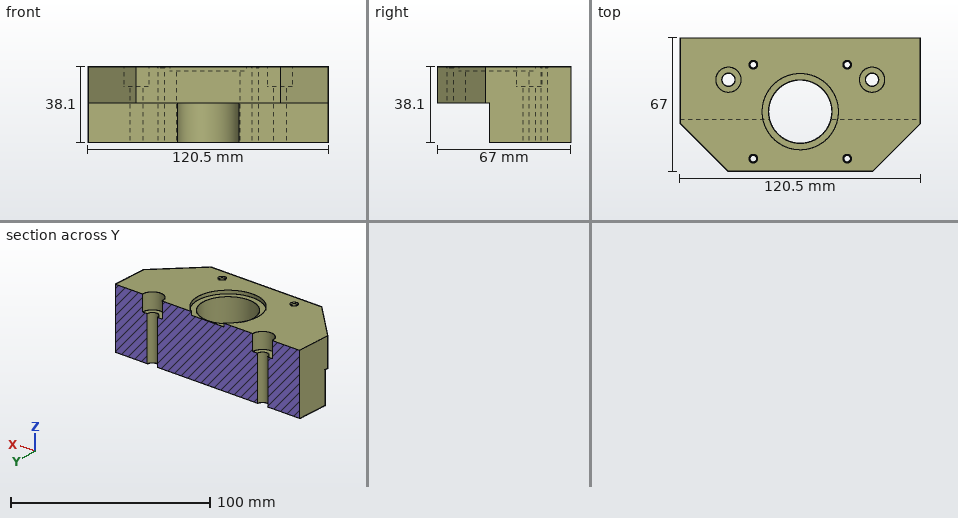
import cadquery as cq

LENGTH = 120.5
DEPTH = 67.0
HEIGHT = 38.1

PLATE_THICKNESS = 18.2
CORNER_CUT = 24.0
BLOCK_DEPTH = 41.0

BORE_Y = 30.0
BORE_DIAMETER = 31.7
SEAT_DIAMETER = 38.3
SEAT_DEPTH = 2.0

MOUNT_SPACING = 72.0
MOUNT_Y = 46.0
MOUNT_DIAMETER = 6.5
MOUNT_HEAD_DIAMETER = 12.7
MOUNT_HEAD_DEPTH = 10.0

SMALL_SPACING = 47.1
SMALL_DIAMETER = 3.3
SMALL_SINK_DIAMETER = 4.3
SMALL_SINK_ANGLE = 90


def make_body():
    plate = (
        cq.Workplane("XY")
        .box(LENGTH, DEPTH, PLATE_THICKNESS, centered=(True, False, False))
        .edges("|Z and <Y")
        .chamfer(CORNER_CUT)
        .translate((0, 0, HEIGHT - PLATE_THICKNESS))
    )
    block = (
        cq.Workplane("XY")
        .box(LENGTH, BLOCK_DEPTH, HEIGHT - PLATE_THICKNESS, centered=(True, False, False))
        .translate((0, DEPTH - BLOCK_DEPTH, 0))
    )
    return plate.union(block)


def on_top(body, y):
    """Workplane on the top face, with its origin on the centreline at y."""
    return body.faces(">Z").workplane(origin=(0, y, HEIGHT))


def cut_bore(body):
    return on_top(body, BORE_Y).cboreHole(BORE_DIAMETER, SEAT_DIAMETER, SEAT_DEPTH)


def cut_mounting_holes(body):
    return (
        on_top(body, MOUNT_Y)
        .pushPoints([(-MOUNT_SPACING / 2, 0), (MOUNT_SPACING / 2, 0)])
        .cboreHole(MOUNT_DIAMETER, MOUNT_HEAD_DIAMETER, MOUNT_HEAD_DEPTH)
    )


def cut_small_holes(body):
    return (
        on_top(body, BORE_Y)
        .rarray(SMALL_SPACING, SMALL_SPACING, 2, 2)
        .cskHole(SMALL_DIAMETER, SMALL_SINK_DIAMETER, SMALL_SINK_ANGLE)
    )


result = cut_small_holes(cut_mounting_holes(cut_bore(make_body())))